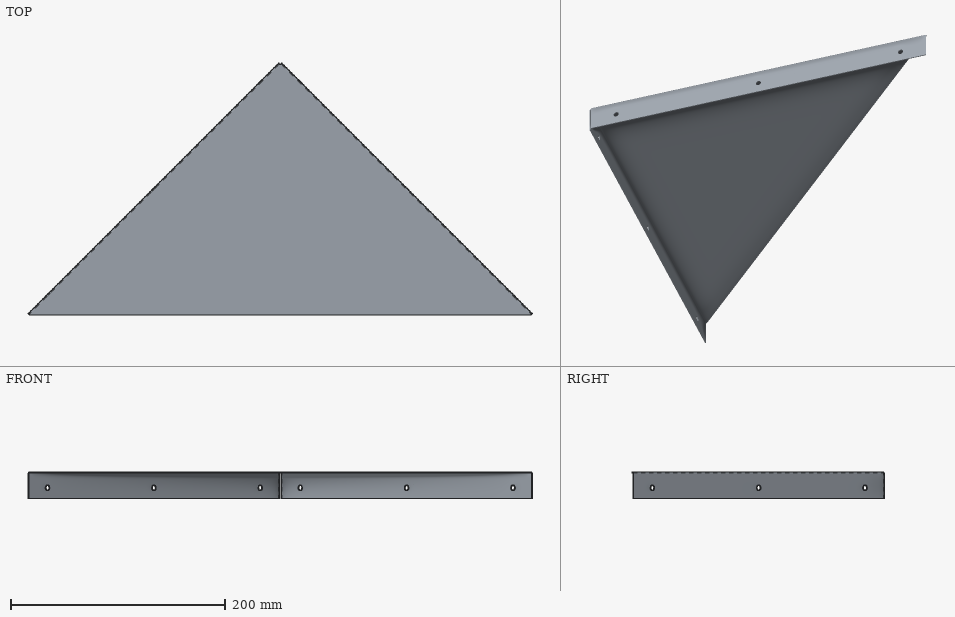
import cadquery as cq
import math

flat_corner_y = 234.0
height = 25.0
thickness = 1.0
inner_bend_radius = 1.0

hole_diameter = 5.0
hole_end_distance = 25.0
hole_center_z = 10.0
holes_per_flange = 3

outer_bend_radius = inner_bend_radius + thickness
bend_center_z = height - outer_bend_radius
leg_length = flat_corner_y * math.sqrt(2)
hole_pitch = (leg_length - 2 * hole_end_distance) / (holes_per_flange - 1)

leg_end = (-flat_corner_y, 0, 0)
along = (1, 1, 0)
outward = (-1, 1, 0)
inward = (1, -1, 0)


def flat_sheet():
    """The triangular top sheet, out to the lines where the bends start."""
    base = cq.Workplane("XY").workplane(offset=height - thickness)
    outline = base.polyline([(-flat_corner_y, 0), (flat_corner_y, 0), (0, flat_corner_y)])
    return outline.close().extrude(thickness)


def bend_midpoint(radius):
    """Middle of a quarter bend, as (distance outwards from the leg, height)."""
    offset = radius * math.sqrt(0.5)
    return (offset, bend_center_z + offset)


def folded_flange():
    """Quarter bend and upright wall of the -X leg, as one section swept along the leg."""
    section = cq.Workplane(cq.Plane(origin=leg_end, xDir=outward, normal=along))
    outline = (
        section.moveTo(0, height)
        .threePointArc(bend_midpoint(outer_bend_radius), (outer_bend_radius, bend_center_z))
        .lineTo(outer_bend_radius, 0)
        .lineTo(inner_bend_radius, 0)
        .lineTo(inner_bend_radius, bend_center_z)
        .threePointArc(bend_midpoint(inner_bend_radius), (0, height - thickness))
        .close()
    )
    return outline.extrude(leg_length)


def flange_holes():
    """Cutters for the row of holes through the wall of the -X leg."""
    centers = []
    for index in range(holes_per_flange):
        centers.append((hole_end_distance + index * hole_pitch, hole_center_z))
    leg_plane = cq.Workplane(cq.Plane(origin=leg_end, xDir=along, normal=inward))
    return leg_plane.pushPoints(centers).circle(hole_diameter / 2).extrude(-outer_bend_radius)


left_flange = folded_flange().cut(flange_holes())
right_flange = left_flange.mirror("YZ")
result = flat_sheet().union(left_flange).union(right_flange)